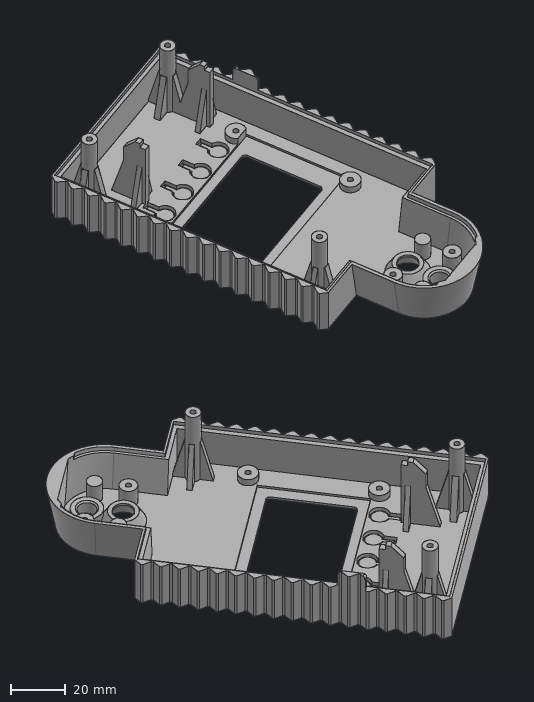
import cadquery as cq

TOTAL_LENGTH = 157.5

BODY_LENGTH = 118.0
BODY_HALF_WIDTH = 38.4
BODY_HEIGHT = 19.0
WALL = 2.5
FLOOR = 2.0
TOOTH_COUNT = 17
TOOTH_HEIGHT = 2.0
TOOTH_LAND = 1.0
TOOTH_PITCH = (BODY_LENGTH + TOOTH_LAND) / TOOTH_COUNT
TOOTH_FLANK = TOOTH_PITCH / 2 - TOOTH_LAND

TAIL_RADIUS = 21.5
TAIL_CENTER_X = TOTAL_LENGTH - TAIL_RADIUS
TAIL_INSET_AT_BOTTOM = 3.3
TAIL_SLOPE = TAIL_INSET_AT_BOTTOM / BODY_HEIGHT
TAIL_OVERLAP = 9.5
TAIL_START_X = BODY_LENGTH - TAIL_OVERLAP
TAIL_CAVITY_START_X = BODY_LENGTH - WALL
TAIL_CAVITY_END_X = 151.5

SEAT_DEPTH = 1.5
SEAT_END_WALL = 1.0
SEAT_SIDE_WALL = 0.6
SEAT_TAIL_WALL = 1.4
SEAT_TAIL_END_X = 149.7

WINDOW = (45.8, 79.8, -23.0, 22.2)
WINDOW_CORNER = 1.5
RECESS = (41.9, 84.0, -27.4, 30.5)
RECESS_DEPTH = 1.0

BOSS_XS = (39.2, 88.0)
BOSS_YS = (-30.4, 27.5)
BOSS_RADIUS = 4.0
BOSS_HEIGHT = 3.0
SCREW_RADIUS = 1.1

BUTTON_X = 37.2
BUTTON_FIRST_Y = -19.5
BUTTON_LAST_Y = 18.5
BUTTON_COUNT = 4
BUTTON_PITCH = (BUTTON_LAST_Y - BUTTON_FIRST_Y) / (BUTTON_COUNT - 1)
BUTTON_RADIUS = 4.0
BUTTON_STEM_END_X = 28.7
BUTTON_STEM_WIDTH = 3.1
BUTTON_GAP = 0.6
BUTTON_DROP = 1.1
HINGE_WIDTH = 1.0
HINGE_DEPTH = 1.4

STANDOFF_TOP = 34.0
STANDOFF_RADIUS = 3.0
STANDOFF_NEAR_X = 9.9
STANDOFF_FAR_X = 108.0
STANDOFF_Y = 28.0
GUSSET_TOP = 20.5
GUSSET_REACH = 7.7
RIB_THICKNESS = 2.5
THIN_RIB_THICKNESS = 2.0
STANDOFFS = (
    (STANDOFF_NEAR_X, STANDOFF_Y, RIB_THICKNESS),
    (STANDOFF_NEAR_X, -STANDOFF_Y, RIB_THICKNESS),
    (STANDOFF_FAR_X, -STANDOFF_Y, THIN_RIB_THICKNESS),
)

FIN_YS = (-18.1, STANDOFF_Y)
FIN_FOOT_X = 14.2
FIN_BACK_X = 19.4
FIN_SHOULDER_Z = 27.2
FIN_TOP_X = 24.2
FIN_NOTCH_X = 26.3
FIN_FRONT_X = 28.7
FIN_TOP = 32.5
FIN_NOTCH_Z = 30.5
FIN_BRACE_X = 26.1
FIN_BRACE_REACH = 6.0

TAB_START_X = 31.8
TAB_END_X = 42.5
TAB_TOP = 25.3
TAB_CHAMFER = 1.0

FITTING_NEAR_X = 129.0
FITTING_FAR_X = 141.5
FITTING_Y = 10.5
FITTING_TOP = 10.0
PEG_RADIUS = 3.0
TAIL_BOSS_RADIUS = 3.5
CONE_BASE_RADIUS = 8.5
CONE_TOP_RADIUS = 5.8
CONE_TOP = 6.8
CONE_HOLE_RADIUS = 4.1
CONE_HOLE_FLARE_RADIUS = 6.6
CONE_HOLE_STRAIGHT = 1.0
RING_X = 142.5
RING_RADIUS = 6.1
RING_TOP = 6.0
RING_HOLE_RADIUS = 3.6
RING_CHAMFER = 0.6


def box(x0, x1, y0, y1, z0, z1):
    return cq.Workplane("XY").box(x1 - x0, y1 - y0, z1 - z0, centered=False).translate((x0, y0, z0))


def cylinder(x, y, radius, z0, z1):
    return cq.Workplane("XY", origin=(x, y, z0)).circle(radius).extrude(z1 - z0)


def toothed_outline():
    """Body outline at z = 0, with the same row of teeth along both long sides."""
    edge = []
    for i in range(TOOTH_COUNT):
        x = i * TOOTH_PITCH
        peak = BODY_HALF_WIDTH + TOOTH_HEIGHT
        edge.append((x, BODY_HALF_WIDTH))
        edge.append((x + TOOTH_FLANK, peak))
        edge.append((x + TOOTH_FLANK + TOOTH_LAND, peak))
        edge.append((x + 2 * TOOTH_FLANK + TOOTH_LAND, BODY_HALF_WIDTH))
    mirrored = [(x, -y) for x, y in reversed(edge)]
    return cq.Workplane("XY").polyline(edge + mirrored).close()


def tail_solid(start_x, inset, z0, z1):
    """Tapered tail between two heights, shrunk sideways by inset."""

    def radius_at(z):
        return TAIL_RADIUS - inset - TAIL_SLOPE * (BODY_HEIGHT - z)

    def outline(plane, radius):
        return (
            plane.moveTo(start_x, -radius)
            .lineTo(TAIL_CENTER_X, -radius)
            .threePointArc((TAIL_CENTER_X + radius, 0), (TAIL_CENTER_X, radius))
            .lineTo(start_x, radius)
            .close()
        )

    lower = outline(cq.Workplane("XY", origin=(0, 0, z0)), radius_at(z0))
    return outline(lower.workplane(offset=z1 - z0), radius_at(z1)).loft(ruled=True)


def make_shell():
    shell = toothed_outline().extrude(BODY_HEIGHT)
    shell = shell.union(tail_solid(TAIL_START_X, 0, 0, BODY_HEIGHT))

    inner = BODY_HALF_WIDTH - WALL
    shell = shell.cut(box(WALL, BODY_LENGTH - WALL, -inner, inner, FLOOR, BODY_HEIGHT))
    tail_cavity = tail_solid(TAIL_CAVITY_START_X - WALL, WALL, FLOOR, BODY_HEIGHT)
    keep = box(0, TAIL_CAVITY_END_X, -TAIL_RADIUS, TAIL_RADIUS, 0, BODY_HEIGHT)
    shell = shell.cut(tail_cavity.intersect(keep))

    seat_z = BODY_HEIGHT - SEAT_DEPTH
    seat_half = BODY_HALF_WIDTH - SEAT_SIDE_WALL
    shell = shell.cut(
        box(SEAT_END_WALL, BODY_LENGTH - SEAT_END_WALL, -seat_half, seat_half, seat_z, BODY_HEIGHT)
    )
    tail_seat = tail_solid(TAIL_CAVITY_START_X, SEAT_TAIL_WALL, seat_z, BODY_HEIGHT)
    keep = box(0, SEAT_TAIL_END_X, -TAIL_RADIUS, TAIL_RADIUS, 0, BODY_HEIGHT)
    return shell.cut(tail_seat.intersect(keep))


def make_window():
    """Window opening and its recess, which also trims any screw boss that overlaps it."""
    recess = box(*RECESS, FLOOR - RECESS_DEPTH, FLOOR + BOSS_HEIGHT)
    opening = box(*WINDOW, 0, FLOOR).edges("|Z").fillet(WINDOW_CORNER)
    return recess.union(opening)


def keyhole(inset, top):
    """Button blank standing on z = 0, centred on its round pad; inset shrinks its outline."""
    stem_length = BUTTON_X - BUTTON_STEM_END_X
    half = BUTTON_STEM_WIDTH / 2 - inset
    stem = box(-stem_length, 0, -half, half, 0, top)
    return cylinder(0, 0, BUTTON_RADIUS - inset, 0, top).union(stem)


def make_button_gap():
    """Space around and above one sunken button: a through gap beside it and a hinge groove."""
    button = keyhole(BUTTON_GAP, FLOOR - BUTTON_DROP)
    half = BUTTON_STEM_WIDTH / 2
    stem_end = BUTTON_STEM_END_X - BUTTON_X
    hinge = box(stem_end, stem_end + HINGE_WIDTH, -half, half, FLOOR - HINGE_DEPTH, FLOOR)
    return keyhole(0, FLOOR).cut(button).union(hinge)


def make_gusset(angle, inner, reach, thickness):
    """Triangular rib on the floor, leaning against a support at the origin."""
    rib = (
        cq.Workplane("XZ")
        .polyline([(0, FLOOR), (reach, FLOOR), (inner, GUSSET_TOP), (0, GUSSET_TOP)])
        .close()
        .extrude(thickness / 2, both=True)
    )
    return rib.rotate((0, 0, 0), (0, 0, 1), angle)


def make_standoff(x, y, side_thickness):
    post = cylinder(0, 0, STANDOFF_RADIUS, FLOOR, STANDOFF_TOP)
    for angle in (0, 90, 180, 270):
        thickness = RIB_THICKNESS if angle % 180 == 0 else side_thickness
        post = post.union(make_gusset(angle, STANDOFF_RADIUS, GUSSET_REACH, thickness))
    return post.translate((x, y, 0))


def make_fin(y):
    profile = [
        (FIN_FOOT_X, FLOOR),
        (FIN_BACK_X, GUSSET_TOP),
        (FIN_BACK_X, FIN_SHOULDER_Z),
        (FIN_TOP_X, FIN_TOP),
        (FIN_NOTCH_X, FIN_TOP),
        (FIN_NOTCH_X, FIN_NOTCH_Z),
        (FIN_FRONT_X, FIN_NOTCH_Z),
        (FIN_FRONT_X, FLOOR),
    ]
    fin = cq.Workplane("XZ").polyline(profile).close().extrude(RIB_THICKNESS / 2, both=True)
    for angle in (90, 270):
        brace = make_gusset(angle, RIB_THICKNESS / 2, FIN_BRACE_REACH, THIN_RIB_THICKNESS)
        fin = fin.union(brace.translate((FIN_BRACE_X, 0, 0)))
    return fin.translate((0, y, 0))


def make_tab():
    """Raised stretch of the toothed +Y wall, with its upper end corners bevelled."""
    tab_inner = BODY_HALF_WIDTH - SEAT_SIDE_WALL
    tab_outer = BODY_HALF_WIDTH + TOOTH_HEIGHT
    block = box(TAB_START_X, TAB_END_X, tab_inner, tab_outer, BODY_HEIGHT - SEAT_DEPTH, TAB_TOP)
    block = block.faces(">Z").edges("|Y").chamfer(TAB_CHAMFER)
    return toothed_outline().extrude(TAB_TOP).intersect(block)


def frustum(x, lower_radius, upper_radius, z0, z1):
    """Cone frustum standing on the tail centreline."""
    base = cq.Workplane("XY", origin=(x, 0, z0)).circle(lower_radius)
    return base.workplane(offset=z1 - z0).circle(upper_radius).loft()


result = make_shell()

for i in range(BUTTON_COUNT):
    button_y = BUTTON_FIRST_Y + i * BUTTON_PITCH
    result = result.cut(make_button_gap().translate((BUTTON_X, button_y, 0)))

boss_top = FLOOR + BOSS_HEIGHT
for x in BOSS_XS:
    for y in BOSS_YS:
        result = result.union(cylinder(x, y, BOSS_RADIUS, FLOOR, boss_top))
        result = result.cut(cylinder(x, y, SCREW_RADIUS, FLOOR, boss_top))
result = result.cut(make_window())

for x, y, side_thickness in STANDOFFS:
    result = result.union(make_standoff(x, y, side_thickness))
for y in FIN_YS:
    result = result.union(make_fin(y))
for x, y, _ in STANDOFFS:
    result = result.cut(cylinder(x, y, SCREW_RADIUS, FLOOR, STANDOFF_TOP))

result = result.union(make_tab())

result = result.union(frustum(FITTING_NEAR_X, CONE_BASE_RADIUS, CONE_TOP_RADIUS, FLOOR, CONE_TOP))
result = result.union(cylinder(RING_X, 0, RING_RADIUS, FLOOR, RING_TOP))
for x, boss_y in ((FITTING_NEAR_X, -FITTING_Y), (FITTING_FAR_X, FITTING_Y)):
    result = result.union(cylinder(x, -boss_y, PEG_RADIUS, FLOOR, FITTING_TOP))
    result = result.union(cylinder(x, boss_y, TAIL_BOSS_RADIUS, FLOOR, FITTING_TOP))
    result = result.cut(cylinder(x, boss_y, SCREW_RADIUS, FLOOR, FITTING_TOP))

flare_top = CONE_TOP - CONE_HOLE_STRAIGHT
result = result.cut(cylinder(FITTING_NEAR_X, 0, CONE_HOLE_RADIUS, 0, CONE_TOP))
result = result.cut(frustum(FITTING_NEAR_X, CONE_HOLE_FLARE_RADIUS, CONE_HOLE_RADIUS, 0, flare_top))
bevel_radius = RING_HOLE_RADIUS + RING_CHAMFER
result = result.cut(cylinder(RING_X, 0, RING_HOLE_RADIUS, 0, RING_TOP))
result = result.cut(frustum(RING_X, RING_HOLE_RADIUS, bevel_radius, RING_TOP - RING_CHAMFER, RING_TOP))